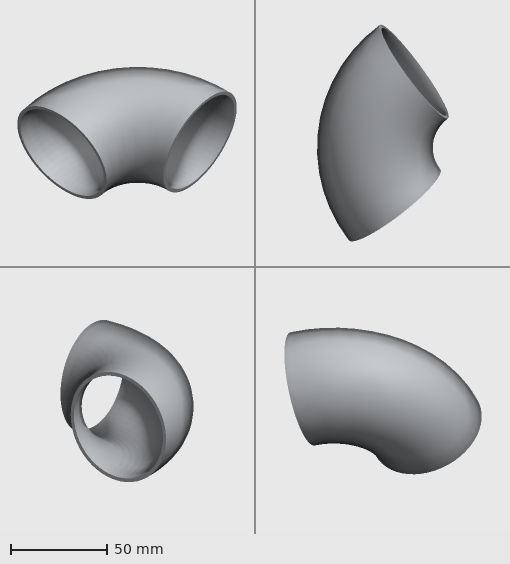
import cadquery as cq

overall_size = 81.15
pipe_diameter = 60.3
wall_thickness = 2.0
bend_angle = 90.0

outer_radius = pipe_diameter / 2
inner_radius = outer_radius - wall_thickness
bend_radius = overall_size - outer_radius

result = (
    cq.Workplane("XZ")
    .center(-bend_radius, 0)
    .circle(outer_radius)
    .circle(inner_radius)
    .revolve(bend_angle, (bend_radius, 0), (bend_radius, -1))
)